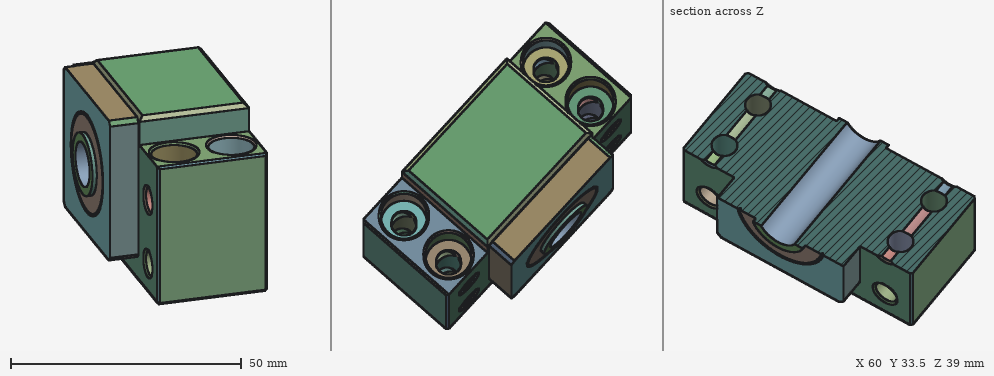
import cadquery as cq

width = 60.0
height = 39.0
overall_depth = 33.5
body_depth = 25.0
shoulder_height = 32.5
block_width = 34.0
edge_chamfer = 0.5
block_chamfer = 1.0

bore_height = 22.0
plate_size = 33.0
plate_thickness = 6.5
plate_chamfer = 1.0
collar_diameter = 14.0
bore_diameter = 10.0
bearing_diameter = 22.0
bearing_chamfer = 0.5

hole_diameter = 5.5
hole_spacing = 46.0
hole_chamfer = 0.5
lower_hole_height = 7.0
counterbore_diameter = 10.0
counterbore_depth = 7.0
vertical_hole_inset = 6.0

plate_front = -plate_thickness
collar_projection = (overall_depth - body_depth - plate_thickness) / 2
collar_front = plate_front - collar_projection
hole_xs = (-hole_spacing / 2, hole_spacing / 2)


def cylinder_y(diameter, x, z, start, length):
    """Cylinder along +Y, starting at the given Y."""
    return cq.Workplane(cq.Solid.makeCylinder(
        diameter / 2, length, cq.Vector(x, start, z), cq.Vector(0, 1, 0)))


def flare(diameter, chamfer, position, direction):
    """Cone that chamfers a hole mouth at position, narrowing along direction."""
    return cq.Workplane(cq.Solid.makeCone(
        diameter / 2 + chamfer, diameter / 2, chamfer, cq.Vector(*position), cq.Vector(*direction)))


def make_body():
    """Wide base with chamfered ends and bottom, and a chamfered block rising from it."""
    base = cq.Workplane("XY").box(width, body_depth, shoulder_height, centered=(True, False, False))
    base = base.faces("<X or >X or <Z").edges().chamfer(edge_chamfer)

    block_bottom = shoulder_height / 2
    block = (
        cq.Workplane("XY", origin=(0, 0, block_bottom))
        .box(block_width, body_depth, height - block_bottom, centered=(True, False, False))
        .faces(">Z").edges().chamfer(block_chamfer)
    )
    return base.union(block)


def make_plate():
    """Square cover plate with chamfered corners in front of the body."""
    return (
        cq.Workplane("XZ", origin=(0, 0, bore_height))
        .rect(plate_size, plate_size)
        .extrude(plate_thickness)
        .edges("|Y").chamfer(plate_chamfer)
    )


def add_bearing(part):
    """V-groove around the flush bearing face, collars at both ends and the through bore."""
    part = part.cut(flare(bearing_diameter, bearing_chamfer, (0, plate_front, bore_height), (0, 1, 0)))
    part = part.union(cylinder_y(bearing_diameter, 0, bore_height, plate_front, plate_thickness))
    part = part.union(cylinder_y(collar_diameter, 0, bore_height, collar_front, overall_depth))
    return part.cut(cylinder_y(bore_diameter, 0, bore_height, collar_front, overall_depth))


def cut_horizontal_holes(part):
    """Through holes along Y, chamfered at both mouths."""
    for x in hole_xs:
        for z in (lower_hole_height, bore_height):
            part = part.cut(cylinder_y(hole_diameter, x, z, 0, body_depth))
            part = part.cut(flare(hole_diameter, hole_chamfer, (x, 0, z), (0, 1, 0)))
            part = part.cut(flare(hole_diameter, hole_chamfer, (x, body_depth, z), (0, -1, 0)))
    return part


def cut_vertical_holes(part):
    """Counterbored through holes in the shoulders, chamfered at the top."""
    centers = [(x, y) for x in hole_xs for y in (vertical_hole_inset, body_depth - vertical_hole_inset)]
    part = part.cut(
        cq.Workplane("XY", origin=(0, 0, shoulder_height))
        .pushPoints(centers).circle(counterbore_diameter / 2).extrude(-counterbore_depth)
    )
    part = part.cut(
        cq.Workplane("XY").pushPoints(centers).circle(hole_diameter / 2).extrude(shoulder_height)
    )
    for x, y in centers:
        part = part.cut(flare(counterbore_diameter, hole_chamfer, (x, y, shoulder_height), (0, 0, -1)))
    return part


result = make_body().union(make_plate())
result = add_bearing(result)
result = cut_horizontal_holes(result)
result = cut_vertical_holes(result)